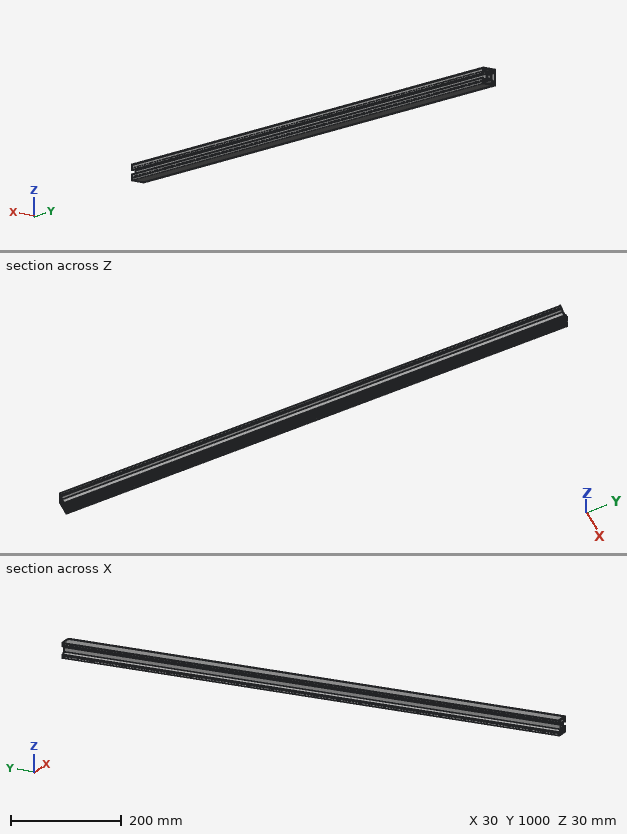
import cadquery as cq
import math

side = 30.0
length = 1000.0
corner_radius = 2.0

wall = 2.0
channel_width = 16.5
slot_opening = 8.0
core_side = 12.0
core_bore = 8.0
web_thickness = 2.5

hollow_side = 3.0
hollow_wall = 1.5
hollow_radius = 0.5

half_side = side / 2
channel_top = half_side - wall
channel_floor = core_side / 2
web_offset = web_thickness / math.sqrt(2)
floor_half_width = channel_floor - web_offset
taper_start = channel_width / 2 + web_offset
hollow_pitch = side - 2 * hollow_wall - hollow_side

OPEN_SIDE_ANGLE = 0
CHANNEL_ANGLES = (0, 90, 180, 270)


def make_bar():
    """Solid square bar with rounded long edges."""
    bar = cq.Workplane("XY").box(side, length, side)
    return bar.edges("|Y").fillet(corner_radius)


def make_channel(angle):
    """Full-length channel on the +X side, turned about the bar axis."""
    half_width = channel_width / 2
    profile = [
        (channel_floor, -floor_half_width),
        (taper_start, -half_width),
        (channel_top, -half_width),
        (channel_top, half_width),
        (taper_start, half_width),
        (channel_floor, floor_half_width),
    ]
    channel = cq.Workplane("XZ").polyline(profile).close().extrude(length / 2, both=True)
    return channel.rotate((0, 0, 0), (0, 1, 0), angle)


def make_slot_opening(angle):
    """Gap through the outer wall of the +X side, turned about the bar axis."""
    gap = cq.Workplane("XY").box(wall, length, slot_opening)
    gap = gap.translate((half_side - wall / 2, 0, 0))
    return gap.rotate((0, 0, 0), (0, 1, 0), angle)


def make_core_bore():
    """Round hole along the whole bar axis."""
    return cq.Workplane("XZ").circle(core_bore / 2).extrude(length / 2, both=True)


def make_corner_hollows():
    """Four rounded square holes along the bar, one in each corner block."""
    centres = cq.Workplane("XZ").rect(hollow_pitch, hollow_pitch, forConstruction=True).vertices()
    hollows = centres.rect(hollow_side, hollow_side).extrude(length / 2, both=True)
    return hollows.edges("|Y").fillet(hollow_radius)


result = make_bar()
for channel_angle in CHANNEL_ANGLES:
    result = result.cut(make_channel(channel_angle))
result = result.cut(make_slot_opening(OPEN_SIDE_ANGLE))
result = result.cut(make_core_bore())
result = result.cut(make_corner_hollows())